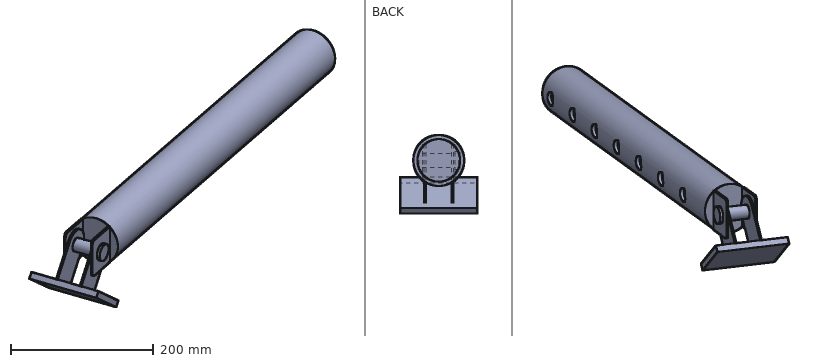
import cadquery as cq


TUBE_OUTER_D = 72.0
TUBE_BORE_D = 60.0
TUBE_START_Y = 24.0
TUBE_LENGTH = 612.35
CAP_THICKNESS = 10.0
SIDE_HOLE_D = 20.0
SIDE_HOLE_COUNT = 7
SIDE_HOLE_PITCH = 83.0
LAST_HOLE_MARGIN = 30.0

LUG_GAP = 36.0
LUG_THICKNESS = 2.5
CLEVIS_LUG_HEIGHT = 58.0
CLEVIS_LUG_LENGTH = 49.0
CLEVIS_CORNER_R = 6.0

PIN_D = 20.0
PIN_HEAD_D = 25.0
PIN_HEAD_THICKNESS = 4.5

FOOT_TILT = 37.5
FOOT_LUG_WIDTH = 45.0
FOOT_REACH = 66.95
PLATE_WIDTH = 108.9
PLATE_LENGTH = 71.0
PLATE_THICKNESS = 10.0

tube_radius = TUBE_OUTER_D / 2
foot_lug_inner_x = LUG_GAP / 2
clevis_lug_inner_x = foot_lug_inner_x + LUG_THICKNESS
clevis_lug_outer_x = clevis_lug_inner_x + LUG_THICKNESS
tube_end_y = TUBE_START_Y + TUBE_LENGTH


def x_cylinder(diameter, x_start, x_end):
    """Cylinder on the pin axis."""
    return cq.Workplane("YZ", origin=(x_start, 0, 0)).circle(diameter / 2).extrude(x_end - x_start)


def y_cylinder(diameter, y_start, y_end):
    """Cylinder on the tube axis."""
    return cq.Workplane("XZ", origin=(0, y_start, 0)).circle(diameter / 2).extrude(y_start - y_end)


def pin_hole():
    """Cutter for the bore that the pin shank fills."""
    return x_cylinder(PIN_D, -clevis_lug_outer_x, clevis_lug_outer_x)


def make_clevis_lug(x_start):
    """Flat lug standing on the tube end, with its two free corners rounded."""
    return (
        cq.Workplane("YZ", origin=(x_start, TUBE_START_Y - CLEVIS_LUG_LENGTH / 2, 0))
        .rect(CLEVIS_LUG_LENGTH, CLEVIS_LUG_HEIGHT)
        .extrude(LUG_THICKNESS)
        .edges("|X and <Y")
        .fillet(CLEVIS_CORNER_R)
    )


def make_tube():
    """Tube closed flush at one end by a cap, with a row of holes through its -X wall only."""
    tube = y_cylinder(TUBE_OUTER_D, TUBE_START_Y, tube_end_y).cut(
        y_cylinder(TUBE_BORE_D, TUBE_START_Y, tube_end_y)
    )
    for index in range(SIDE_HOLE_COUNT):
        hole_y = tube_end_y - LAST_HOLE_MARGIN - index * SIDE_HOLE_PITCH
        hole = x_cylinder(SIDE_HOLE_D, -tube_radius, 0).translate((0, hole_y, 0))
        tube = tube.cut(hole)
    cap = y_cylinder(TUBE_BORE_D, TUBE_START_Y, TUBE_START_Y + CAP_THICKNESS)
    tube = tube.union(cap, clean=False)
    for lug_x in (-clevis_lug_outer_x, clevis_lug_inner_x):
        tube = tube.union(make_clevis_lug(lug_x), clean=False)
    return tube.cut(pin_hole(), clean=False)


def make_pin():
    """Shank through all four lugs with a larger head at each end."""
    head_end_x = clevis_lug_outer_x + PIN_HEAD_THICKNESS
    pin = x_cylinder(PIN_D, -head_end_x, head_end_x)
    for head_x in (-head_end_x, clevis_lug_outer_x):
        pin = pin.union(x_cylinder(PIN_HEAD_D, head_x, head_x + PIN_HEAD_THICKNESS))
    return pin


def make_foot_lug(x_start):
    """Lug rounded about the pin axis, reaching straight down to the plate."""
    half_width = FOOT_LUG_WIDTH / 2
    plate_top_z = PLATE_THICKNESS - FOOT_REACH
    return (
        cq.Workplane("YZ", origin=(x_start, 0, 0))
        .moveTo(-half_width, plate_top_z)
        .lineTo(-half_width, 0)
        .threePointArc((0, half_width), (half_width, 0))
        .lineTo(half_width, plate_top_z)
        .close()
        .extrude(LUG_THICKNESS)
    )


def make_foot():
    """Plate with two lugs, built upright and then swung about the pin axis."""
    foot = (
        cq.Workplane("XY", origin=(0, 0, -FOOT_REACH))
        .rect(PLATE_WIDTH, PLATE_LENGTH)
        .extrude(PLATE_THICKNESS)
    )
    for lug_x in (-clevis_lug_inner_x, foot_lug_inner_x):
        foot = foot.union(make_foot_lug(lug_x))
    return foot.cut(pin_hole()).rotate((0, 0, 0), (1, 0, 0), -FOOT_TILT)


tube = make_tube().solids()
pin = make_pin().solids()
foot = make_foot().solids()

result = cq.Compound.makeCompound([tube.val(), pin.val(), foot.val()])